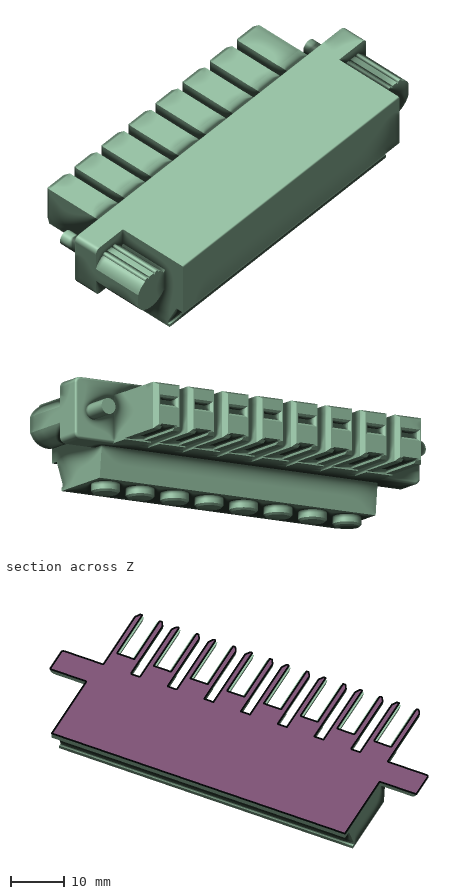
import cadquery as cq
import math

LENGTH = 76.15
POLES = 8
PITCH = 7.6
END_MARGIN = 7.6
POLE_YS = [END_MARGIN + PITCH * (i + 0.5) for i in range(POLES)]

FLANGE_FRONT = 14.8
FLANGE_BACK = 20.25
FLANGE_HEIGHT = 11.9
FLANGE_CORNER = 1.15
FLANGE_EDGE = 0.45

BODY_BACK = 35.3
BACK_FILLET = 0.3
SHELF_DEPTH = 12.0
BODY_DEPTH = 18.0
FOOT_FRONT_TOP = 17.75
FOOT_FRONT_BOTTOM = 18.4
FOOT_BACK_TOP = 33.65
FOOT_NECK = 31.5
FOOT_LIP = 32.0
LIP_HEIGHT = 0.7
LIP_RELIEF = 0.45

SCREW_X = 22.5
SCREW_DIAMETER = 5.4
SCREW_BOTTOM = 19.8
SCREW_CHAMFER = 0.4

PLUG_WIDTH = 5.8
PLUG_TOP = 2.75
TIP_BOTTOM = 11.65
TIP_TAPER_LENGTH = 1.0
TIP_TAPER_SIDE = 0.6
COLLAR_FRONT = 11.05
COLLAR_RISE = 0.04
WINDOW_WIDTH = 4.1
WINDOW_TOP = 5.25
WINDOW_BOTTOM = 7.4
WINDOW_BEVEL = 0.4
WINDOW_DEPTH = 2.3
NOTCH_TOP = 10.8
NOTCH_LEDGE = 11.2
NOTCH_TOP_WIDTH = 3.35
NOTCH_LEDGE_WIDTH = 3.8
NOTCH_MOUTH_WIDTH = 2.75

AXIS_INSET = 3.8
AXIS_DEPTH = 6.4
PIN_DIAMETER = 3.05
PIN_TIP = 9.2
LATCH_BACK = 30.85
LATCH_RADIUS = 4.1
RIB_TOP = 2.2
RIB_RADIUS = 0.45
RIB_OFFSET = 1.4
SLIT_WIDTH = 0.3
BRIDGE_OFFSET = 3.4
BRIDGE_RISE = 0.4


def box(x_range, y_range, z_range):
    """Box between two X, two Y and two Z limits."""
    lows, highs = zip(x_range, y_range, z_range)
    sizes = [high - low for low, high in zip(lows, highs)]
    return cq.Workplane("XY").box(*sizes, centered=False).translate(lows)


def make_flange():
    flange = box((FLANGE_FRONT, FLANGE_BACK), (0, LENGTH), (-FLANGE_HEIGHT, 0))
    flange = flange.edges("|X").fillet(FLANGE_CORNER)
    return flange.faces("<X").edges().fillet(FLANGE_EDGE)


def make_body():
    profile = [
        (FLANGE_BACK - FLANGE_CORNER, 0),
        (BODY_BACK, 0),
        (BODY_BACK, -SHELF_DEPTH),
        (FOOT_BACK_TOP, -SHELF_DEPTH),
        (FOOT_NECK, -BODY_DEPTH + LIP_HEIGHT + LIP_RELIEF),
        (FOOT_NECK, -BODY_DEPTH + LIP_HEIGHT),
        (FOOT_LIP, -BODY_DEPTH + LIP_HEIGHT),
        (FOOT_LIP, -BODY_DEPTH),
        (FOOT_FRONT_BOTTOM, -BODY_DEPTH),
        (FOOT_FRONT_TOP, -FLANGE_HEIGHT),
        (FLANGE_BACK - FLANGE_CORNER, -FLANGE_HEIGHT),
    ]
    body = cq.Workplane("XZ").polyline(profile).close().extrude(-(LENGTH - 2 * END_MARGIN))
    body = body.faces(">Z").edges(">X").fillet(BACK_FILLET)
    return body.translate((0, END_MARGIN, 0))


def make_screw(y):
    height = SCREW_BOTTOM - BODY_DEPTH
    screw = cq.Workplane("XY").circle(SCREW_DIAMETER / 2).extrude(height)
    screw = screw.faces("<Z").chamfer(SCREW_CHAMFER)
    return screw.translate((SCREW_X, y, -SCREW_BOTTOM))


def make_window(y):
    """Rectangular pocket in the plug tip with a bevelled mouth."""
    width = WINDOW_WIDTH - 2 * WINDOW_BEVEL
    height = WINDOW_BOTTOM - WINDOW_TOP - 2 * WINDOW_BEVEL
    mouth = (
        cq.Workplane("YZ")
        .rect(WINDOW_WIDTH, height + 2 * WINDOW_BEVEL)
        .workplane(offset=WINDOW_BEVEL)
        .rect(width, height)
        .loft(ruled=True)
    )
    pocket = cq.Workplane("YZ").rect(width, height).extrude(WINDOW_DEPTH)
    return mouth.union(pocket).translate((0, y, -(WINDOW_TOP + WINDOW_BOTTOM) / 2))


def make_notch(y):
    """Undercut groove along the underside of the plug, wider inside than at its mouth."""
    half_section = [
        (NOTCH_TOP_WIDTH / 2, -NOTCH_TOP),
        (NOTCH_LEDGE_WIDTH / 2, -NOTCH_LEDGE),
        (NOTCH_MOUTH_WIDTH / 2, -NOTCH_LEDGE),
        (NOTCH_MOUTH_WIDTH / 2, -TIP_BOTTOM),
    ]
    right_side = [(y + offset, z) for offset, z in half_section]
    left_side = [(y - offset, z) for offset, z in reversed(half_section)]
    return cq.Workplane("YZ").polyline(right_side + left_side).close().extrude(COLLAR_FRONT)


def make_plug(y):
    sides = (y - PLUG_WIDTH / 2, y + PLUG_WIDTH / 2)
    tip = box((0, COLLAR_FRONT), sides, (-TIP_BOTTOM, -PLUG_TOP))
    tip = tip.faces("<X").chamfer(TIP_TAPER_SIDE, TIP_TAPER_LENGTH)
    tip = tip.cut(make_window(y)).cut(make_notch(y))
    collar_z = (-FLANGE_HEIGHT, -PLUG_TOP + COLLAR_RISE)
    collar = box((COLLAR_FRONT, FLANGE_FRONT + FLANGE_EDGE), sides, collar_z)
    return tip.union(collar)


def make_pin(y):
    pin = cq.Workplane("YZ").circle(PIN_DIAMETER / 2).extrude(FLANGE_BACK - PIN_TIP)
    return pin.translate((PIN_TIP, y, -AXIS_DEPTH))


def make_bridge(y):
    """Flared joint that closes the gap between a latch and the body beside it."""
    toward_body = 1 if y < LENGTH / 2 else -1
    latch_y = y + toward_body * BRIDGE_OFFSET
    body_y = y + toward_body * (END_MARGIN - AXIS_INSET)
    half_height = math.sqrt(LATCH_RADIUS**2 - BRIDGE_OFFSET**2)
    return (
        cq.Workplane("YZ")
        .polyline([
            (latch_y, half_height),
            (body_y, half_height + BRIDGE_RISE),
            (body_y, -half_height - BRIDGE_RISE),
            (latch_y, -half_height),
        ])
        .close()
        .extrude(LATCH_BACK - FLANGE_BACK)
        .translate((FLANGE_BACK, 0, -AXIS_DEPTH))
    )


def make_latch(y):
    """Round latch behind the flange, with two half-round ribs on top and a slit inside each."""
    x_range = (FLANGE_BACK, LATCH_BACK)
    length = LATCH_BACK - FLANGE_BACK
    latch = cq.Workplane("YZ").circle(LATCH_RADIUS).extrude(length)
    latch = latch.translate((FLANGE_BACK, y, -AXIS_DEPTH))
    rib_z = -RIB_TOP - RIB_RADIUS
    slit_offset = RIB_OFFSET - RIB_RADIUS - SLIT_WIDTH / 2
    for side in (-1, 1):
        rib_y = y + side * RIB_OFFSET
        slit_y = y + side * slit_offset
        rib_sides = (rib_y - RIB_RADIUS, rib_y + RIB_RADIUS)
        slit_sides = (slit_y - SLIT_WIDTH / 2, slit_y + SLIT_WIDTH / 2)
        crown = cq.Workplane("YZ").circle(RIB_RADIUS).extrude(length)
        latch = latch.cut(box(x_range, rib_sides, (rib_z, 0)))
        latch = latch.union(crown.translate((FLANGE_BACK, rib_y, rib_z)))
        latch = latch.cut(box(x_range, slit_sides, (rib_z, 0)))
    latch = latch.union(make_bridge(y))
    return latch.intersect(box(x_range, (0, LENGTH), (-FLANGE_HEIGHT, 0)))


result = make_flange().union(make_body())
for pole_y in POLE_YS:
    result = result.union(make_plug(pole_y)).union(make_screw(pole_y))
for end_y in (AXIS_INSET, LENGTH - AXIS_INSET):
    result = result.union(make_pin(end_y)).union(make_latch(end_y))